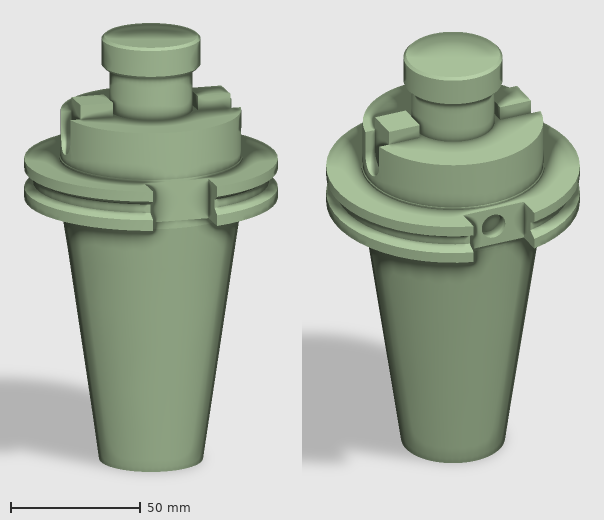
import cadquery as cq
import math

TOTAL_HEIGHT = 169.8
TAPER_LENGTH = 101.5
FLANGE_BOTTOM = 104.8
FLANGE_TOP = 120.6
NECK_STEP_HEIGHT = 0.8
NECK_TOP = 140.1
HEAD_HEIGHT = 12.4
HEAD_BOTTOM = TOTAL_HEIGHT - HEAD_HEIGHT

GAUGE_RADIUS = 35.0
TAPER_RATIO = 7 / 24
SMALL_END_RADIUS = GAUGE_RADIUS - TAPER_LENGTH * TAPER_RATIO / 2
FLANGE_RADIUS = 98.3 / 2
NECK_RADIUS = GAUGE_RADIUS
NECK_STEP_RADIUS = 35.5
PILOT_RADIUS = 16.1
HEAD_RADIUS = 19.2
HEAD_CHAMFER = 1.0

GROOVE_CENTER = 112.8
GROOVE_FLOOR_RADIUS = 45.7
GROOVE_FLOOR_WIDTH = 3.4
GROOVE_FLANK_ANGLE = 30.0
GROOVE_FLANK_RISE = (FLANGE_RADIUS - GROOVE_FLOOR_RADIUS) * math.tan(math.radians(GROOVE_FLANK_ANGLE))
GROOVE_MOUTH_WIDTH = GROOVE_FLOOR_WIDTH + 2 * GROOVE_FLANK_RISE

NOTCH_WIDTH = 25.8
NOTCH_FLOOR_LEFT = 37.7
NOTCH_FLOOR_RIGHT = 35.5
DIMPLE_DIAMETER = 10.0
DIMPLE_DEPTH = 5.1

KEY_WIDTH = 12.9
KEY_INNER = 17.2
KEY_OUTER = 30.2
KEY_TOP = 145.7
KEY_BOTTOM = 124.7


def make_turned_holder():
    """Taper, grooved flange, neck and pilot as one turned shape."""
    profile = [
        (0, 0),
        (SMALL_END_RADIUS, 0),
        (GAUGE_RADIUS, TAPER_LENGTH),
        (GAUGE_RADIUS, FLANGE_BOTTOM),
        (FLANGE_RADIUS, FLANGE_BOTTOM),
        (FLANGE_RADIUS, GROOVE_CENTER - GROOVE_MOUTH_WIDTH / 2),
        (GROOVE_FLOOR_RADIUS, GROOVE_CENTER - GROOVE_FLOOR_WIDTH / 2),
        (GROOVE_FLOOR_RADIUS, GROOVE_CENTER + GROOVE_FLOOR_WIDTH / 2),
        (FLANGE_RADIUS, GROOVE_CENTER + GROOVE_MOUTH_WIDTH / 2),
        (FLANGE_RADIUS, FLANGE_TOP),
        (NECK_STEP_RADIUS, FLANGE_TOP),
        (NECK_STEP_RADIUS, FLANGE_TOP + NECK_STEP_HEIGHT),
        (NECK_RADIUS, FLANGE_TOP + NECK_STEP_HEIGHT),
        (NECK_RADIUS, NECK_TOP),
        (PILOT_RADIUS, NECK_TOP),
        (PILOT_RADIUS, HEAD_BOTTOM),
        (0, HEAD_BOTTOM),
    ]
    return cq.Workplane("XZ").polyline(profile).close().revolve(360, (0, 0), (0, 1))


def make_notch(side, floor):
    """Cutter for the flange notch on the given X side, down to the floor distance."""
    length = FLANGE_RADIUS - floor
    height = FLANGE_TOP - FLANGE_BOTTOM
    center = (side * (floor + length / 2), 0, FLANGE_BOTTOM + height / 2)
    return cq.Workplane("XY").box(length, NOTCH_WIDTH, height).translate(center)


def make_dimple():
    """Cutter for the blind round hole in the floor of the -X notch."""
    return (
        cq.Workplane("YZ", origin=(-NOTCH_FLOOR_LEFT, 0, GROOVE_CENTER))
        .circle(DIMPLE_DIAMETER / 2)
        .extrude(DIMPLE_DEPTH)
    )


def make_key_block(side, inner, outer):
    """Round-bottomed block on the given Y side, between two distances from the axis."""
    half_width = KEY_WIDTH / 2
    arc_center = KEY_BOTTOM + half_width
    return (
        cq.Workplane("XZ", origin=(0, side * inner, 0))
        .moveTo(-half_width, KEY_TOP)
        .lineTo(-half_width, arc_center)
        .threePointArc((0, KEY_BOTTOM), (half_width, arc_center))
        .lineTo(half_width, KEY_TOP)
        .close()
        .extrude(-side * (outer - inner))
    )


def make_holder():
    """Tool holder with its notches, dimple and drive keys."""
    body = make_turned_holder()
    body = body.cut(make_notch(-1, NOTCH_FLOOR_LEFT))
    body = body.cut(make_notch(1, NOTCH_FLOOR_RIGHT))
    body = body.cut(make_dimple())
    for side in (-1, 1):
        body = body.cut(make_key_block(side, KEY_OUTER, NECK_STEP_RADIUS))
        body = body.union(make_key_block(side, KEY_INNER, KEY_OUTER))
    return body


def make_clamping_head():
    """Round head resting on the end of the pilot."""
    return (
        cq.Workplane("XY", origin=(0, 0, HEAD_BOTTOM))
        .circle(HEAD_RADIUS)
        .extrude(HEAD_HEIGHT)
        .edges()
        .chamfer(HEAD_CHAMFER)
    )


holder = make_holder()
clamping_head = make_clamping_head()

result = cq.Compound.makeCompound([holder.solids().val(), clamping_head.val()])